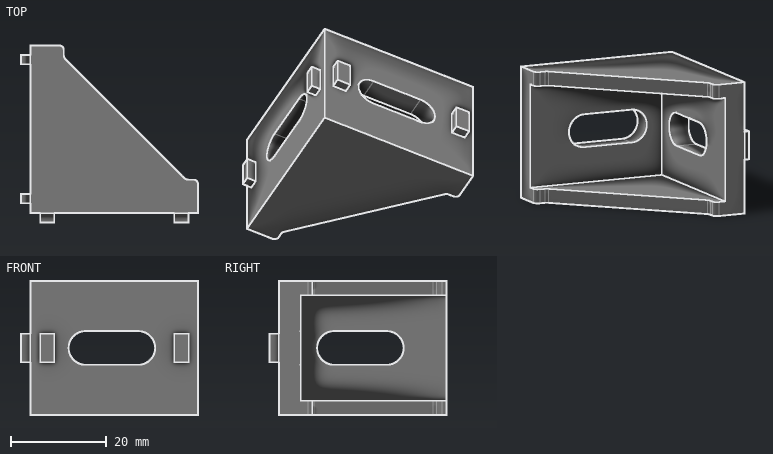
import cadquery as cq

overall = 37.0
height = 28.0
tab_depth = 2.0
leg = overall - tab_depth
mid_z = height / 2

tip = 7.0
tip_step = 2.55
corner_radius = 1.0

wall = 4.5
side_plate = 3.0

slot_start = 8.0
slot_length = 18.02
slot_width = 7.0

tab_height = 6.0
tab_near = 2.0
tab_inset = 2.0
front_tab_width = 3.0
left_tab_width = 2.0


def make_body():
    """Triangular block with blunt leg ends, rounded at the ends and the steps."""
    slope_end = leg - tip_step
    outline = [
        (0, 0),
        (leg, 0),
        (leg, tip),
        (slope_end, tip),
        (tip, slope_end),
        (tip, leg),
        (0, leg),
    ]
    rounded = [(leg, tip), (slope_end, tip), (tip, slope_end), (tip, leg)]
    body = cq.Workplane("XY").polyline(outline).close().extrude(height)
    for x, y in rounded:
        nearest = cq.selectors.NearestToPointSelector((x, y, mid_z))
        body = body.edges("|Z").edges(nearest).fillet(corner_radius)
    return body


def make_cavity():
    """Space between the two plates, open along the sloped side."""
    size = leg - wall
    return cq.Workplane("XY").box(size, size, height - 2 * side_plate, centered=False).translate(
        (wall, wall, side_plate)
    )


def slot_outline(plane):
    """Round-ended slot, at mid height on one mounting face."""
    centre = slot_start + slot_length / 2
    return cq.Workplane(plane).center(centre, mid_z).slot2D(slot_length, slot_width)


def make_tab(along_x, start, width):
    """Rectangular tab standing out from the front face (along_x) or the left face."""
    z = mid_z - tab_height / 2
    if along_x:
        return cq.Workplane("XY").box(width, tab_depth, tab_height, centered=False).translate(
            (start, -tab_depth, z)
        )
    return cq.Workplane("XY").box(tab_depth, width, tab_height, centered=False).translate(
        (-tab_depth, start, z)
    )


result = make_body().cut(make_cavity())

result = result.cut(slot_outline("XZ").extrude(-wall))
result = result.cut(slot_outline("YZ").extrude(wall))

for along_x, width in ((True, front_tab_width), (False, left_tab_width)):
    for start in (tab_near, leg - tab_inset - width):
        result = result.union(make_tab(along_x, start, width))